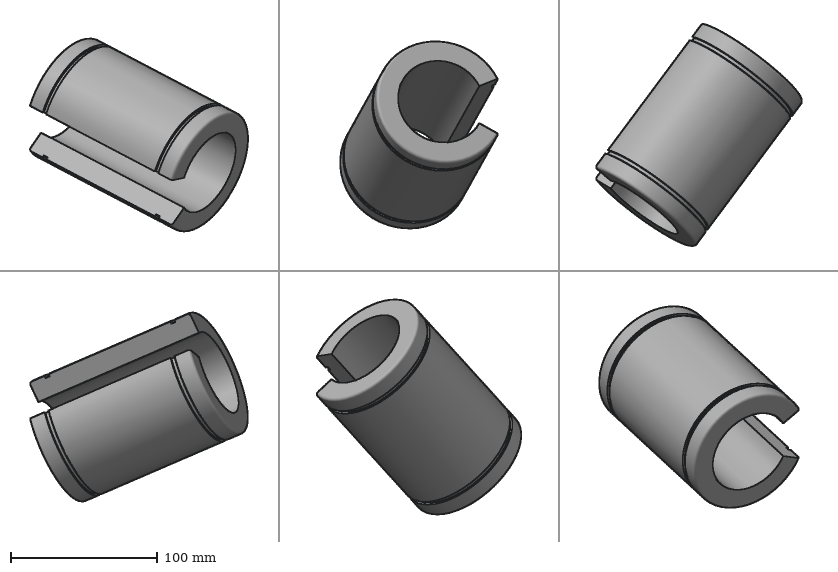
import cadquery as cq
import math

length = 125.0
outer_radius = 45.0
bore_radius = 30.0
edge_radius = 2.0
groove_offset = 12.0
groove_width = 3.0
groove_depth = 1.6
slot_half_angle = 27.0
slot_reach = 2 * outer_radius
slot_half_height = slot_reach * math.tan(math.radians(slot_half_angle))


def disc(radius, start, thickness):
    """Solid cylinder along X beginning at x = start."""
    return cq.Workplane("YZ").workplane(offset=start).circle(radius).extrude(thickness)


def ring_groove(start):
    """Ring of material removed by a retaining-ring groove."""
    groove_floor = disc(outer_radius - groove_depth, start, groove_width)
    return disc(outer_radius + groove_depth, start, groove_width).cut(groove_floor)


half_length = length / 2
sleeve = disc(outer_radius, -half_length, length).faces("<X or >X").edges().fillet(edge_radius)
sleeve = sleeve.cut(disc(bore_radius, -half_length, length))

near_groove_start = -half_length + groove_offset
far_groove_start = half_length - groove_offset - groove_width
for groove_start in (near_groove_start, far_groove_start):
    sleeve = sleeve.cut(ring_groove(groove_start))

slot = (
    cq.Workplane("YZ")
    .workplane(offset=-half_length)
    .polyline([(0, 0), (-slot_reach, slot_half_height), (-slot_reach, -slot_half_height)])
    .close()
    .extrude(length)
)

result = sleeve.cut(slot)